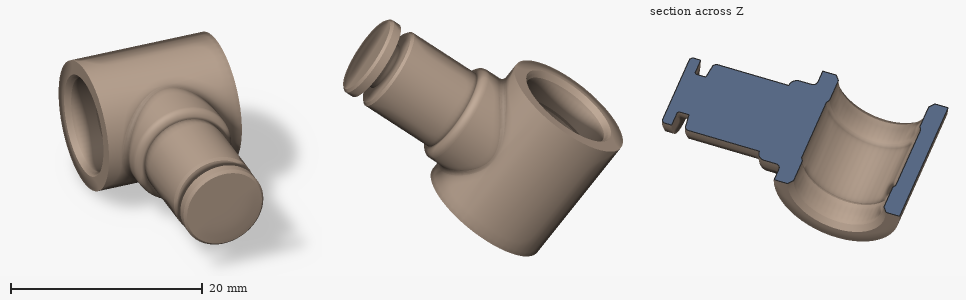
import cadquery as cq

overall_length = 27.6
barrel_diameter = 14.0
barrel_radius = barrel_diameter / 2
barrel_length = 15.0
bore_radius = 5.0
mouth_chamfer = 0.47
mouth_chamfer_depth = 0.6

recess_mouth_depth = 3.3
recess_step = 0.22
recess_bevel_length = 0.4

collar_radius = 5.5
collar_end = 9.7
collar_rounding = 0.88
blend_radius = 0.5
sleeve_radius = 4.55
sleeve_bevel_start = 17.75
sleeve_bevel = 0.28
sleeve_end = 18.22
neck_radius = 2.62
neck_flare = 0.15
flange_radius = 4.5
flange_thickness = 1.2
flange_chamfer = 0.28

branch_end = overall_length - barrel_radius
flange_start = branch_end - flange_thickness


def y_cylinder(radius, length):
    """Cylinder along Y, centred on the origin."""
    return cq.Workplane("XZ").circle(radius).extrude(length / 2, both=True)


def blended_body():
    """Barrel and rounded collar, with a fillet where they meet."""
    collar = cq.Workplane("YZ").circle(collar_radius).extrude(collar_end)
    collar = collar.faces(">X").edges().fillet(collar_rounding)
    barrel = y_cylinder(barrel_radius, barrel_length)
    body = barrel.union(collar)
    reach = collar_radius + blend_radius
    seam = cq.selectors.BoxSelector(
        (blend_radius, -reach, -reach),
        (barrel_radius + blend_radius, reach, reach),
        boundingbox=True,
    )
    return body.edges(seam).fillet(blend_radius)


def connector():
    """Sleeve, neck and release flange, turned about X."""
    bevel_end = sleeve_bevel_start + sleeve_bevel
    profile = (
        cq.Workplane("XY")
        .moveTo(barrel_radius, 0)
        .lineTo(barrel_radius, sleeve_radius)
        .lineTo(sleeve_bevel_start, sleeve_radius)
        .lineTo(bevel_end, sleeve_radius - sleeve_bevel)
        .lineTo(sleeve_end, neck_radius)
        .lineTo(flange_start - neck_flare, neck_radius)
        .lineTo(flange_start, neck_radius + neck_flare)
        .lineTo(flange_start, flange_radius)
        .lineTo(branch_end - flange_chamfer, flange_radius)
        .lineTo(branch_end, flange_radius - flange_chamfer)
        .lineTo(branch_end, 0)
        .close()
    )
    return profile.revolve(360, (0, 0, 0), (1, 0, 0))


def bore_cutter():
    """Through bore with chamfered mouths and a recess with bevelled ends."""
    half_length = barrel_length / 2
    mouth_radius = bore_radius + mouth_chamfer
    recess_radius = bore_radius + recess_step
    recess_half = half_length - recess_mouth_depth
    profile = (
        cq.Workplane("XY")
        .moveTo(0, -half_length)
        .lineTo(mouth_radius, -half_length)
        .lineTo(bore_radius, -half_length + mouth_chamfer_depth)
        .lineTo(bore_radius, -recess_half)
        .lineTo(recess_radius, -recess_half + recess_bevel_length)
        .lineTo(recess_radius, recess_half - recess_bevel_length)
        .lineTo(bore_radius, recess_half)
        .lineTo(bore_radius, half_length - mouth_chamfer_depth)
        .lineTo(mouth_radius, half_length)
        .lineTo(0, half_length)
        .close()
    )
    return profile.revolve(360, (0, 0, 0), (0, 1, 0))


result = blended_body().union(connector()).cut(bore_cutter())